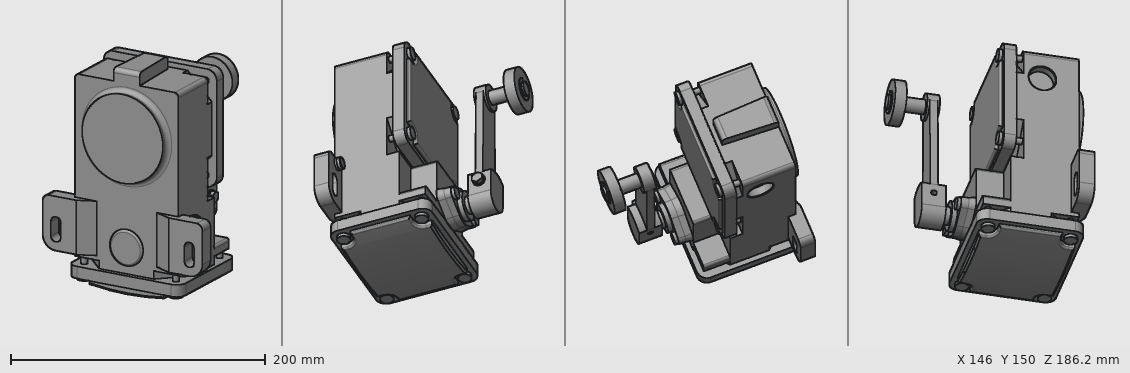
import cadquery as cq
import math


HALF_W = 47.3
FRONT_Y = 6.3
UPPER_BACK_Y = 51.2
LOWER_BACK_Y = 84.0
BODY_BOTTOM_Z = 17.5
BODY_TOP_Z = 175.5
SHELF_Z = 73.0
BODY_ROUND = 3.7
STEP_W = 22.4
STEP_FLOOR_Z = 32.8
STEP_ROUND = 2.2
NOTCH = 22.4
NOTCH_DEPTH = 6.7

PLATE_T = 10.0
PLATE_LIP = 4.3
PLATE_ROUND = 8.5
PANEL_ROUND = 1.7
BACK_PANEL_T = 3.0
BACK_PAD_BOTTOM_Z = 86.6
BACK_PLATE_Y = UPPER_BACK_Y + NOTCH_DEPTH
BACK_FACE_Y = BACK_PLATE_Y + PLATE_T
BOTTOM_FACE_Z = BODY_BOTTOM_Z - PLATE_T
DOME_EDGE_Z = 4.7
SCREW_INSET = 5.4
SCREW_HEAD_R = 5.4
SCREW_HEAD_H = 3.0
SCREW_SHANK_R = 2.6
SCREW_RECESS_R = 7.8

BIG_BOSS_Z = 131.3
BIG_BOSS_R = 36.9
BIG_BOSS_FILLET = 4.1
SMALL_BOSS_Z = 39.3
SMALL_BOSS_R = 15.0
SMALL_BOSS_H = 1.9

LUG_TOP_Z = 186.2
LUG_BACK_Y = 53.3
LUG_FRONT_HALF_W = 12.0
LUG_BACK_HALF_W = 9.7
LUG_ROUND = 3.7

ENTRY_Y = 36.0
ENTRY_Z = 150.9
ENTRY_R = 10.8
ENTRY_DEPTH = 7.5
ENTRY_CHAMFER = 0.5

EAR_HALF_SPAN = 73.0
EAR_T = 12.5
EAR_BOTTOM_Z = 28.0
EAR_FLAT_X = 42.3
EAR_RAMP_X = 27.4
EAR_TOP_ROUND = 5.5
EAR_BOTTOM_ROUND = 12.0
SLOT_X = 60.9
SLOT_Z = 45.6
SLOT_W = 9.0
SLOT_L = 20.7
EARTH_SCREW_X = 57.0
EARTH_SCREW_Z = 68.4
EARTH_WASHER_R = 5.2
EARTH_WASHER_T = 1.9
EARTH_HEAD_R = 5.0
EARTH_HEAD_H = 3.2
EARTH_HEAD_CHAMFER = 0.5

SHAFT_Z = 40.6
SHAFT_R = 7.3
FLANGE_R = 15.0
FLANGE_END_R = 5.8
FLANGE_SCREW_X = 18.8
FLANGE_SCREW_R = 5.0
FLANGE_BASE_T = 6.0
FLANGE_BASE_TAPER = 10.0
FLANGE_T = 5.8
COLLAR_R = 12.1
COLLAR_T = 4.3

CLAMP_R = 12.1
CLAMP_TOP_R = 23.5
CLAMP_Y = 105.0
CLAMP_L = 19.5
CLAMP_SHOULDER_Z = SHAFT_Z + math.sqrt(CLAMP_TOP_R**2 - CLAMP_R**2)
BOLT_Y = CLAMP_Y + CLAMP_L / 2
BOLT_Z = 52.5
BOLT_WASHER_R = 5.0
BOLT_WASHER_T = 1.1
BOLT_FLATS = 8.2
BOLT_HEAD_H = 3.7
BOLT_HOLE_R = 2.2
BOLT_HOLE_DEPTH = 5.5
ARM_Y = 111.4
ARM_T = 6.5
EYE_Z = 140.6
EYE_R = 11.0
EYE_Y = 109.5
EYE_L = 10.2
RIVET_R = 9.1
RIVET_H = 1.7
PIN_R = 6.0
PIN_END_Y = 150.0
ROLLER_R = 18.3
ROLLER_Y = 138.2
ROLLER_T = 9.3
CLIP_R = 9.1
CLIP_T = 0.7
CLIP_GAP = 6.5


def span_box(x0, x1, y0, y1, z0, z1):
    """Box between two limits on each axis."""
    return cq.Workplane("XY").box(x1 - x0, y1 - y0, z1 - z0, centered=False).translate((x0, y0, z0))


def upright_sketch(y):
    """Sketch plane of X and Z at depth y. Its normal is -Y, so negative lengths run toward +Y."""
    return cq.Workplane("XZ", origin=(0, y, 0))


def disc_y(x, z, y, radius, length):
    """Cylinder along +Y starting at depth y."""
    return upright_sketch(y).center(x, z).circle(radius).extrude(-length)


def both_sides(solid):
    """The solid joined with its mirror image across the middle plane."""
    return solid.union(solid.mirror("YZ"))


def body():
    upper = span_box(-HALF_W, HALF_W, FRONT_Y, UPPER_BACK_Y, BODY_BOTTOM_Z, BODY_TOP_Z)
    pad = span_box(-HALF_W, HALF_W, UPPER_BACK_Y, BACK_PLATE_Y, BACK_PAD_BOTTOM_Z, BODY_TOP_Z)
    pad = pad.edges("|Y").chamfer(NOTCH)
    upper = upper.edges("|Y and >Z").fillet(BODY_ROUND)

    step_y = LOWER_BACK_Y - STEP_W
    neck_half_w = HALF_W - STEP_W
    middle = span_box(-HALF_W, HALF_W, FRONT_Y, step_y, BODY_BOTTOM_Z, SHELF_Z)
    neck = span_box(-neck_half_w, neck_half_w, step_y, LOWER_BACK_Y, BODY_BOTTOM_Z, SHELF_Z)
    neck = neck.edges("|Y and >Z").fillet(STEP_ROUND)
    slab = span_box(-HALF_W, HALF_W, step_y, LOWER_BACK_Y, BODY_BOTTOM_Z, STEP_FLOOR_Z)
    slab = slab.edges("|Y and >Z").fillet(STEP_ROUND)
    lower = middle.union(neck).union(slab)

    foot = span_box(-HALF_W, HALF_W, FRONT_Y, LOWER_BACK_Y, BODY_BOTTOM_Z, BODY_BOTTOM_Z + NOTCH_DEPTH)
    corners = foot.cut(foot.edges("|Z").chamfer(NOTCH))
    return upper.union(pad).union(lower).cut(corners)


def top_lug():
    root_z = BODY_TOP_Z - BODY_ROUND
    outline = [
        (-LUG_FRONT_HALF_W, FRONT_Y),
        (LUG_FRONT_HALF_W, FRONT_Y),
        (LUG_BACK_HALF_W, LUG_BACK_Y),
        (-LUG_BACK_HALF_W, LUG_BACK_Y),
    ]
    lug = cq.Workplane("XY").workplane(offset=root_z).polyline(outline).close().extrude(LUG_TOP_Z - root_z)
    return lug.edges("|X and >Z").fillet(LUG_ROUND)


def front_bosses():
    waist_y = FRONT_Y - BIG_BOSS_FILLET
    bend = BIG_BOSS_FILLET * (1 - math.sqrt(0.5))
    big = (
        cq.Workplane("XY")
        .moveTo(0, 0)
        .lineTo(BIG_BOSS_R, 0)
        .lineTo(BIG_BOSS_R, waist_y)
        .threePointArc((BIG_BOSS_R + bend, FRONT_Y - bend), (BIG_BOSS_R + BIG_BOSS_FILLET, FRONT_Y))
        .lineTo(0, FRONT_Y)
        .close()
        .revolve(360, (0, 0, 0), (0, 1, 0))
        .translate((0, 0, BIG_BOSS_Z))
    )
    small = disc_y(0, SMALL_BOSS_Z, FRONT_Y - SMALL_BOSS_H, SMALL_BOSS_R, 2 * SMALL_BOSS_H)
    small = small.faces("<Y").edges().fillet(SMALL_BOSS_H)
    return big.union(small)


def ears():
    profile = [
        (EAR_RAMP_X, FRONT_Y),
        (EAR_FLAT_X, 0),
        (EAR_HALF_SPAN, 0),
        (EAR_HALF_SPAN, EAR_T),
        (EAR_RAMP_X, EAR_T),
    ]
    height = SHELF_Z - EAR_BOTTOM_Z
    ear = cq.Workplane("XY").workplane(offset=EAR_BOTTOM_Z).polyline(profile).close().extrude(height)
    ear = ear.edges("|Y and >X and >Z").fillet(EAR_TOP_ROUND)
    ear = ear.edges("|Y and >X and <Z").fillet(EAR_BOTTOM_ROUND)
    slot = upright_sketch(0).center(SLOT_X, SLOT_Z).slot2D(SLOT_L, SLOT_W, 90).extrude(-EAR_T)
    return both_sides(ear.cut(slot))


def earth_screw():
    washer = disc_y(EARTH_SCREW_X, EARTH_SCREW_Z, EAR_T, EARTH_WASHER_R, EARTH_WASHER_T)
    head = disc_y(EARTH_SCREW_X, EARTH_SCREW_Z, EAR_T, EARTH_HEAD_R, EARTH_WASHER_T + EARTH_HEAD_H)
    return washer.union(head.faces(">Y").edges().chamfer(EARTH_HEAD_CHAMFER))


def cover_screw():
    """Screw along Z with its head resting on z = 0 and its shank reaching down into the body."""
    reach = PLATE_T + NOTCH_DEPTH + SCREW_SHANK_R
    shank = cq.Workplane("XY").circle(SCREW_SHANK_R).extrude(-reach)
    head = cq.Workplane("XY").circle(SCREW_HEAD_R).extrude(SCREW_HEAD_H)
    return shank.union(head)


def cover(height, panel):
    """Cover with its plate just below z = 0 and its panel on top, centred on the origin in X and Y."""
    plate = (
        cq.Workplane("XY")
        .workplane(offset=-PLATE_T)
        .rect(2 * (HALF_W + PLATE_LIP), height + 2 * PLATE_LIP)
        .extrude(PLATE_T)
        .edges("|Z")
        .fillet(PLATE_ROUND)
    )
    corner_w = SCREW_INSET + SCREW_RECESS_R
    reliefs = (
        cq.Workplane("XY")
        .rect(2 * HALF_W, height, forConstruction=True)
        .vertices()
        .rect(2 * corner_w, 2 * corner_w)
        .extrude(PLATE_T)
        .edges("|Z")
        .fillet(SCREW_RECESS_R)
    )
    panel = panel.cut(reliefs)
    whole = plate.union(panel.faces(">Z").edges().fillet(PANEL_ROUND))
    screw_x = HALF_W - SCREW_INSET
    screw_y = height / 2 - SCREW_INSET
    for x in (-screw_x, screw_x):
        for y in (-screw_y, screw_y):
            whole = whole.union(cover_screw().translate((x, y, 0)))
    return whole


def back_cover():
    height = BODY_TOP_Z - BACK_PAD_BOTTOM_Z
    panel = cq.Workplane("XY").rect(2 * HALF_W, height).extrude(BACK_PANEL_T)
    middle_z = (BODY_TOP_Z + BACK_PAD_BOTTOM_Z) / 2
    return cover(height, panel).rotate((0, 0, 0), (1, 0, 0), -90).translate((0, BACK_FACE_Y, middle_z))


def bottom_cover():
    depth = LOWER_BACK_Y - FRONT_Y
    side_h = BOTTOM_FACE_Z - DOME_EDGE_Z
    panel = (
        cq.Workplane("XZ")
        .moveTo(-HALF_W, 0)
        .lineTo(HALF_W, 0)
        .lineTo(HALF_W, side_h)
        .threePointArc((0, BOTTOM_FACE_Z), (-HALF_W, side_h))
        .close()
        .extrude(depth / 2, both=True)
    )
    middle_y = (FRONT_Y + LOWER_BACK_Y) / 2
    return cover(depth, panel).rotate((0, 0, 0), (1, 0, 0), 180).translate((0, middle_y, BOTTOM_FACE_Z))


def flange_outline(y):
    """Round middle with two narrow ends, joined by tangent lines."""
    lean = math.asin((FLANGE_R - FLANGE_END_R) / FLANGE_SCREW_X)
    mid_x, mid_z = FLANGE_R * math.sin(lean), FLANGE_R * math.cos(lean)
    end_x = FLANGE_SCREW_X + FLANGE_END_R * math.sin(lean)
    end_z = FLANGE_END_R * math.cos(lean)
    tip_x = FLANGE_SCREW_X + FLANGE_END_R
    return (
        upright_sketch(y)
        .center(0, SHAFT_Z)
        .moveTo(-mid_x, mid_z)
        .threePointArc((0, FLANGE_R), (mid_x, mid_z))
        .lineTo(end_x, end_z)
        .threePointArc((tip_x, 0), (end_x, -end_z))
        .lineTo(mid_x, -mid_z)
        .threePointArc((0, -FLANGE_R), (-mid_x, -mid_z))
        .lineTo(-end_x, -end_z)
        .threePointArc((-tip_x, 0), (-end_x, end_z))
        .close()
    )


def shaft_bearing():
    base_top_y = LOWER_BACK_Y + FLANGE_BASE_T
    base = flange_outline(base_top_y).extrude(FLANGE_BASE_T, taper=-FLANGE_BASE_TAPER)
    flange = flange_outline(base_top_y).extrude(-FLANGE_T)
    screw = disc_y(FLANGE_SCREW_X, SHAFT_Z, base_top_y, FLANGE_SCREW_R, FLANGE_T + SCREW_HEAD_H)
    collar = disc_y(0, SHAFT_Z, base_top_y, COLLAR_R, FLANGE_T + COLLAR_T)
    shaft = disc_y(0, SHAFT_Z, base_top_y, SHAFT_R, CLAMP_Y + CLAMP_L / 2 - base_top_y)
    return base.union(flange).union(both_sides(screw)).union(collar).union(shaft)


def clamp():
    block = (
        upright_sketch(CLAMP_Y)
        .moveTo(-CLAMP_R, SHAFT_Z)
        .threePointArc((0, SHAFT_Z - CLAMP_R), (CLAMP_R, SHAFT_Z))
        .lineTo(CLAMP_R, CLAMP_SHOULDER_Z)
        .threePointArc((0, SHAFT_Z + CLAMP_TOP_R), (-CLAMP_R, CLAMP_SHOULDER_Z))
        .close()
        .extrude(-CLAMP_L)
    )
    bolt_axis = cq.Workplane("YZ").center(BOLT_Y, BOLT_Z)
    washer = bolt_axis.workplane(offset=CLAMP_R).circle(BOLT_WASHER_R).extrude(BOLT_WASHER_T)
    head = (
        bolt_axis.workplane(offset=CLAMP_R)
        .polygon(6, BOLT_FLATS, circumscribed=True)
        .extrude(BOLT_WASHER_T + BOLT_HEAD_H)
    )
    hole = bolt_axis.workplane(offset=-CLAMP_R).circle(BOLT_HOLE_R).extrude(BOLT_HOLE_DEPTH)
    return block.union(washer).union(head).cut(hole)


def lever():
    foot_z = CLAMP_SHOULDER_Z
    arm = (
        upright_sketch(ARM_Y)
        .polyline([(-CLAMP_R, foot_z), (CLAMP_R, foot_z), (EYE_R, EYE_Z), (-EYE_R, EYE_Z)])
        .close()
        .extrude(-ARM_T)
    )
    eye = disc_y(0, EYE_Z, EYE_Y, EYE_R, EYE_L)
    pin = disc_y(0, EYE_Z, EYE_Y, PIN_R, PIN_END_Y - EYE_Y)
    dome_r = (RIVET_R**2 + RIVET_H**2) / (2 * RIVET_H)
    half_lean = math.asin(RIVET_R / dome_r) / 2
    tip_y = EYE_Y - RIVET_H
    rivet = (
        cq.Workplane("XY")
        .moveTo(0, tip_y)
        .threePointArc(
            (dome_r * math.sin(half_lean), tip_y + dome_r * (1 - math.cos(half_lean))),
            (RIVET_R, EYE_Y),
        )
        .lineTo(0, EYE_Y)
        .close()
        .revolve(360, (0, 0, 0), (0, 1, 0))
        .translate((0, 0, EYE_Z))
    )
    return arm.union(eye).union(pin).union(rivet)


def roller():
    wheel = disc_y(0, EYE_Z, ROLLER_Y, ROLLER_R, ROLLER_T)
    clips = disc_y(0, EYE_Z, ROLLER_Y - CLIP_T, CLIP_R, ROLLER_T + 2 * CLIP_T)
    gap = span_box(-CLIP_GAP / 2, CLIP_GAP / 2, 0, PIN_END_Y, EYE_Z, EYE_Z + CLIP_R)
    return wheel.union(clips.cut(gap))


def cable_entry():
    """Cutter for the round blind entry with a chamfered mouth in the -X side."""
    side = cq.Workplane("YZ", origin=(-HALF_W, ENTRY_Y, ENTRY_Z))
    mouth = side.circle(ENTRY_R + ENTRY_CHAMFER).extrude(2 * ENTRY_CHAMFER)
    mouth = mouth.faces(">X").edges().chamfer(ENTRY_CHAMFER)
    mouth = mouth.translate((-ENTRY_CHAMFER, 0, 0))
    return side.circle(ENTRY_R).extrude(ENTRY_DEPTH).union(mouth)


result = body().cut(cable_entry())
features = (
    top_lug,
    front_bosses,
    ears,
    earth_screw,
    back_cover,
    bottom_cover,
    shaft_bearing,
    clamp,
    lever,
    roller,
)
for feature in features:
    result = result.union(feature())